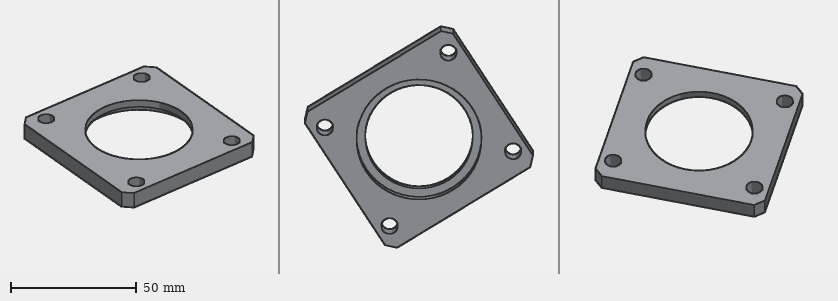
import cadquery as cq

length = 70.0
width = 67.0
thickness = 7.0
corner_chamfer = 3.5

bore_diameter = 43.0
recess_diameter = 50.0
bore_depth = 3.2
recess_depth = thickness - bore_depth
screw_hole_diameter = 6.5
screw_spacing_x = 58.4
screw_spacing_y = 48.5

plate = cq.Workplane("XY").box(length, width, thickness).edges("|Z").chamfer(corner_chamfer)

plate = plate.faces("<Z").workplane().cboreHole(bore_diameter, recess_diameter, recess_depth)

result = (
    plate.faces(">Z")
    .workplane(origin=(0, 0, 0))
    .rect(screw_spacing_x, screw_spacing_y, forConstruction=True)
    .vertices()
    .hole(screw_hole_diameter)
)